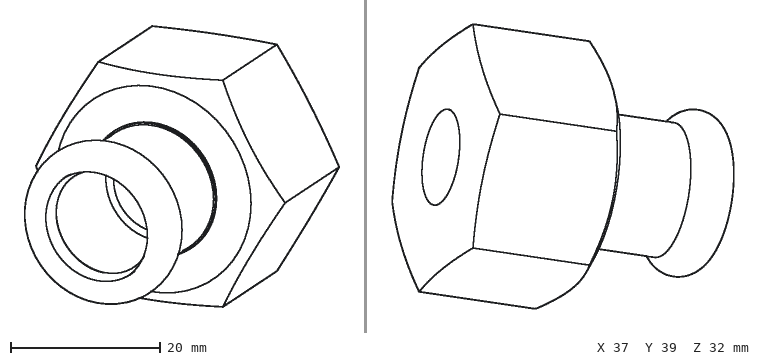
import cadquery as cq
import math

total_length = 39.0
hex_flats = 32.0
hex_corners = hex_flats / math.cos(math.pi / 6)
nut_length = 20.0
front_y = -total_length / 2
back_y = total_length / 2
nut_front_y = back_y - nut_length

front_chamfer_diameter = 29.0
front_chamfer_depth = 2.25
back_chamfer_diameter = 30.95
back_chamfer_depth = 0.75

tube_diameter = 18.3
collar_diameter = 18.8
collar_length = 0.43
bead_diameter = 22.65
bead_round = 3.35
bead_face_diameter = 17.1

mouth_diameter = 15.7
socket_diameter = 15.3
bore_diameter = 13.0
lip_radius = (bead_face_diameter - mouth_diameter) / 2
mouth_depth = 5.85
taper_length = 0.78

seal_diameter = 14.6
seal_middle_depth = 3.45
seal_width = 3.12

socket_depth = 20.28


def revolve_about_y(profile):
    """Turn a profile of (radius, Y) points around the Y axis."""
    return profile.close().revolve(360, (0, 0, 0), (0, 1, 0))


def make_nut():
    """Hexagon with corners on X, trimmed by a cone at each end."""
    prism = (
        cq.Workplane("XZ", origin=(0, back_y, 0))
        .polygon(6, hex_corners)
        .extrude(nut_length)
    )
    corner_radius = hex_corners / 2
    envelope = revolve_about_y(
        cq.Workplane("XY")
        .moveTo(0, nut_front_y)
        .lineTo(front_chamfer_diameter / 2, nut_front_y)
        .lineTo(corner_radius, nut_front_y + front_chamfer_depth)
        .lineTo(corner_radius, back_y - back_chamfer_depth)
        .lineTo(back_chamfer_diameter / 2, back_y)
        .lineTo(0, back_y)
    )
    return prism.intersect(envelope)


def make_tube():
    """Tube with collar and a bead rounded at both of its outer edges."""
    tube_radius = tube_diameter / 2
    face_radius = bead_face_diameter / 2
    bead_radius = bead_diameter / 2
    ring_radius = bead_radius - bead_round
    front_reach = math.sqrt(bead_round**2 - (face_radius - ring_radius) ** 2)
    rear_reach = math.sqrt(bead_round**2 - (tube_radius - ring_radius) ** 2)
    bead_middle_y = front_y + front_reach
    bead_back_y = bead_middle_y + rear_reach
    collar_start_y = nut_front_y - collar_length
    return revolve_about_y(
        cq.Workplane("XY")
        .moveTo(0, front_y)
        .lineTo(face_radius, front_y)
        .threePointArc((bead_radius, bead_middle_y), (tube_radius, bead_back_y))
        .lineTo(tube_radius, collar_start_y)
        .lineTo(collar_diameter / 2, collar_start_y)
        .lineTo(collar_diameter / 2, nut_front_y)
        .lineTo(0, nut_front_y)
    )


def make_bore():
    """Rounded mouth with the sealing ring, short taper to the socket, then the through bore."""
    mouth_radius = mouth_diameter / 2
    lip_diagonal = lip_radius * math.sqrt(0.5)
    mouth_end_y = front_y + mouth_depth
    seal_middle_y = front_y + seal_middle_depth
    socket_end_y = front_y + socket_depth
    return revolve_about_y(
        cq.Workplane("XY")
        .moveTo(0, front_y)
        .lineTo(bead_face_diameter / 2, front_y)
        .threePointArc(
            (bead_face_diameter / 2 - lip_diagonal, front_y + lip_radius - lip_diagonal),
            (mouth_radius, front_y + lip_radius),
        )
        .lineTo(mouth_radius, seal_middle_y - seal_width / 2)
        .threePointArc(
            (seal_diameter / 2, seal_middle_y),
            (mouth_radius, seal_middle_y + seal_width / 2),
        )
        .lineTo(mouth_radius, mouth_end_y)
        .lineTo(socket_diameter / 2, mouth_end_y + taper_length)
        .lineTo(socket_diameter / 2, socket_end_y)
        .lineTo(bore_diameter / 2, socket_end_y)
        .lineTo(bore_diameter / 2, back_y)
        .lineTo(0, back_y)
    )


result = make_nut().union(make_tube()).cut(make_bore())